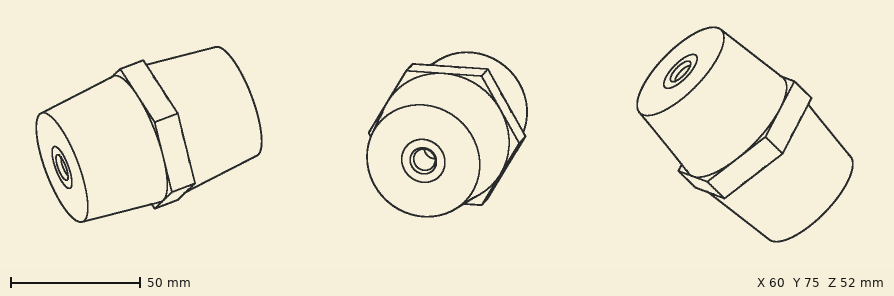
import cadquery as cq
import math


LENGTH = 75.0
HEX_ACROSS_FLATS = 52.0
COLLAR_WIDTH = 10.0
TAPER_ROOT_DIAMETER = HEX_ACROSS_FLATS
TAPER_END_DIAMETER = 45.0

INSERT_DIAMETER = 17.25
INSERT_LENGTH = 25.5
BORE_DIAMETER = 8.55
BORE_MOUTH_DIAMETER = 10.5
BORE_DEPTH = 18.0
MOUTH_CHAMFER_ANGLE = 30.0
DRILL_TIP_ANGLE = 118.0

END_Y = LENGTH / 2
COLLAR_Y = COLLAR_WIDTH / 2
AXIS_END = (0, 1, 0)


def revolve_about_y(profile):
    """Turn a closed (radius, y) outline a full turn around the Y axis."""
    return cq.Workplane("XY").polyline(profile).close().revolve(360, (0, 0, 0), AXIS_END)


def make_collar():
    """Hexagonal prism with flats facing +Z and -Z and corners on the X axis."""
    across_corners = HEX_ACROSS_FLATS / math.cos(math.pi / 6)
    return cq.Workplane("XZ").polygon(6, across_corners).extrude(COLLAR_Y, both=True)


def make_tapered_core():
    """Round body, narrowing from the collar towards both ends."""
    root_radius = TAPER_ROOT_DIAMETER / 2
    end_radius = TAPER_END_DIAMETER / 2
    return revolve_about_y([
        (0, -END_Y),
        (end_radius, -END_Y),
        (root_radius, -COLLAR_Y),
        (root_radius, COLLAR_Y),
        (end_radius, END_Y),
        (0, END_Y),
    ])


def make_insert_blank():
    """Plain cylinder filling the insert's socket at the +Y end."""
    return cq.Workplane("XZ", origin=(0, END_Y, 0)).circle(INSERT_DIAMETER / 2).extrude(INSERT_LENGTH)


def make_bore():
    """Blind drilled hole with a chamfered mouth, entering from the +Y end."""
    bore_radius = BORE_DIAMETER / 2
    mouth_radius = BORE_MOUTH_DIAMETER / 2
    chamfer_depth = (mouth_radius - bore_radius) / math.tan(math.radians(MOUTH_CHAMFER_ANGLE))
    tip_depth = bore_radius / math.tan(math.radians(DRILL_TIP_ANGLE / 2))
    return revolve_about_y([
        (0, END_Y),
        (mouth_radius, END_Y),
        (bore_radius, END_Y - chamfer_depth),
        (bore_radius, END_Y - BORE_DEPTH),
        (0, END_Y - BORE_DEPTH - tip_depth),
    ])


def at_both_ends(shape):
    """The +Y shape and its copy turned half a turn about Z to the -Y end."""
    return [shape.rotate((0, 0, 0), (0, 0, 1), angle) for angle in (0, 180)]


def make_housing():
    """Tapered core and collar in one piece, with a socket in each end."""
    housing = make_tapered_core().union(make_collar())
    for socket in at_both_ends(make_insert_blank()):
        housing = housing.cut(socket)
    return housing


def make_insert():
    """Metal insert of the +Y end."""
    return make_insert_blank().cut(make_bore())


housing = make_housing()
inserts = at_both_ends(make_insert())

result = cq.Compound.makeCompound([housing.val(), *[insert.val() for insert in inserts]])